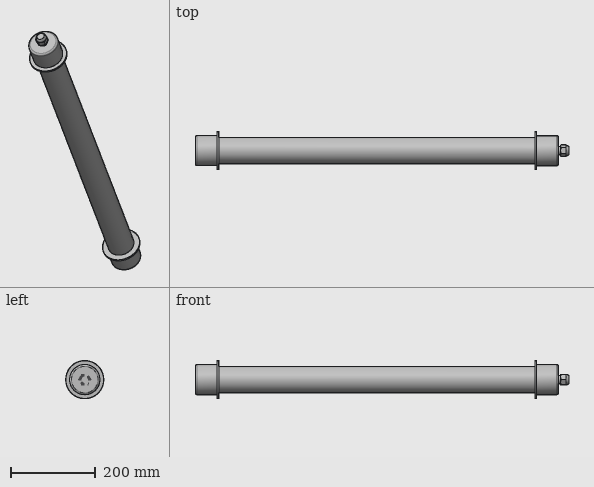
import cadquery as cq
import math

TOTAL_LENGTH = 885.0
CAP_LENGTH = 56.0
CAP_DIAMETER = 72.0
CAP_EDGE_RADIUS = 4.0
RIGHT_CAP_END = 859.0

FLANGE_DIAMETER = 90.0
FLANGE_THICKNESS = 4.0

TUBE_DIAMETER = 63.0

NECK_DIAMETER = 20.0
NECK_LENGTH = 4.0
NUT_WIDTH = 25.0
NUT_SIDES = 6
NUT_BACK_BEVEL = 3.0
NUT_HEX_LENGTH = 13.0
NUT_TIP_DIAMETER = 18.0
DOME_BULGE = 1.0

tube_start = CAP_LENGTH
tube_end = RIGHT_CAP_END - CAP_LENGTH
nut_start = RIGHT_CAP_END + NECK_LENGTH
nut_length = TOTAL_LENGTH - nut_start


def rod(start, length, diameter):
    """Round rod along +X."""
    return cq.Workplane("YZ", origin=(start, 0, 0)).circle(diameter / 2).extrude(length)


def make_cap():
    """Cap with its closed, rounded end at X = 0 and its flange toward +X."""
    barrel = rod(0, CAP_LENGTH, CAP_DIAMETER).faces("<X").edges().fillet(CAP_EDGE_RADIUS)
    flange = rod(CAP_LENGTH - FLANGE_THICKNESS, FLANGE_THICKNESS, FLANGE_DIAMETER)
    return barrel.union(flange)


def make_nut():
    """Hexagonal nut with flats facing +Z and -Z, a beveled back and a domed tip."""
    corner_radius = NUT_WIDTH / 2 / math.cos(math.pi / NUT_SIDES)
    hexagon = (
        cq.Workplane("YZ", origin=(nut_start, 0, 0))
        .polygon(NUT_SIDES, 2 * corner_radius)
        .extrude(nut_length)
    )
    dome_radius = NUT_WIDTH / 2
    dome_start = nut_start + NUT_HEX_LENGTH
    tip_radius = NUT_TIP_DIAMETER / 2
    dome_middle = (
        (dome_start + TOTAL_LENGTH) / 2 + DOME_BULGE,
        (dome_radius + tip_radius) / 2 + DOME_BULGE,
    )
    turned_envelope = (
        cq.Workplane("XY")
        .moveTo(nut_start, 0)
        .lineTo(nut_start, corner_radius - NUT_BACK_BEVEL)
        .lineTo(nut_start + NUT_BACK_BEVEL, corner_radius)
        .lineTo(dome_start, corner_radius)
        .lineTo(dome_start, dome_radius)
        .threePointArc(dome_middle, (TOTAL_LENGTH, tip_radius))
        .lineTo(TOTAL_LENGTH, 0)
        .close()
        .revolve(360, (0, 0, 0), (1, 0, 0))
    )
    return hexagon.intersect(turned_envelope)


caps = [
    make_cap(),
    make_cap().rotate((0, 0, 0), (0, 0, 1), 180).translate((RIGHT_CAP_END, 0, 0)),
]
tube = rod(tube_start, tube_end - tube_start, TUBE_DIAMETER)
gland_neck = rod(RIGHT_CAP_END, NECK_LENGTH, NECK_DIAMETER)
gland_nut = make_nut()

result = cq.Compound.makeCompound(
    [tube.val(), *[cap.val() for cap in caps], gland_neck.val(), gland_nut.val()]
)